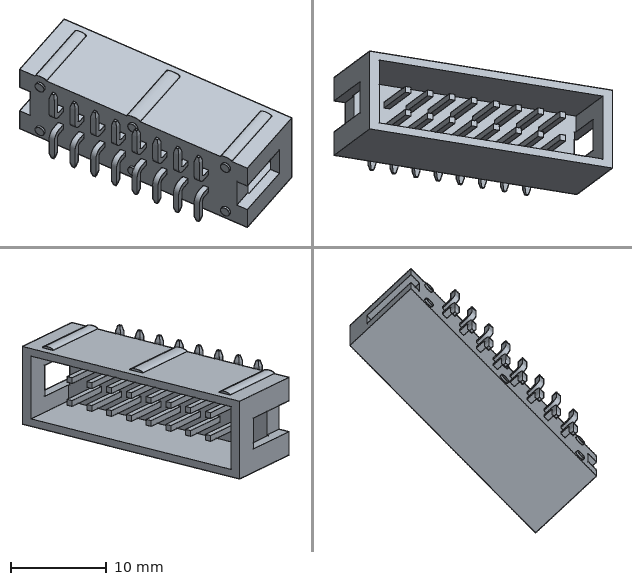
import cadquery as cq
import math


length = 27.95
depth = 8.83
height = 8.65
floor_thickness = 2.18
end_wall = 1.12
side_wall = 0.85

slot_height = 3.45
slot_depth = 6.37
floor_notch = 1.29

pins_per_row = 8
pin_pitch = 2.55
row_spacing = 2.55
pin_size = 0.65
pin_reach = 1.82
pin_tip_span = 9.3
pin_inner_radius = 0.3
pin_outer_radius = pin_inner_radius + pin_size
pin_taper_length = 0.65
pin_tip_size = 0.3
pin_end_clearance = 1.4

standoff_diameter = 1.1
standoff_height = 0.25
standoff_row_offset = 3.19
station_offset = 11.37
rib_height = 0.25
rib_setback = 0.92
outer_rib_width = 1.4
middle_rib_width = 1.68


def box(x_range, y_range, z_range):
    """Axis-aligned block between the given limits."""
    (x0, x1), (y0, y1), (z0, z1) = x_range, y_range, z_range
    return cq.Workplane("XY").box(x1 - x0, y1 - y0, z1 - z0, centered=False).translate((x0, y0, z0))


def make_housing():
    """Hollow block with a slotted wall at each end."""
    half_length = length / 2
    half_cavity = half_length - end_wall
    half_cavity_height = height / 2 - side_wall
    slot_z = (-slot_height / 2, slot_height / 2)

    housing = box((-half_length, half_length), (0, depth), (-height / 2, height / 2))
    housing = housing.cut(
        box(
            (-half_cavity, half_cavity),
            (floor_thickness, depth),
            (-half_cavity_height, half_cavity_height),
        )
    )
    left_slot = box((-half_length, floor_notch - half_length), (0, slot_depth), slot_z)
    return housing.cut(left_slot).cut(left_slot.mirror("YZ"))


def make_rib(x, width):
    """Shallow half-elliptical rib running from the mounting face along the top."""
    top = height / 2
    rib_length = depth - rib_setback
    rod = cq.Workplane("XZ").center(x, top).ellipse(width / 2, rib_height).extrude(-rib_length)
    upper_half = box((x - width / 2, x + width / 2), (0, rib_length), (top, top + rib_height))
    return rod.intersect(upper_half)


def make_standoff(x, z):
    """Short round pad on the mounting face."""
    return cq.Workplane("XZ").center(x, z).circle(standoff_diameter / 2).extrude(standoff_height)


def make_upper_pin():
    """Square pin at X = 0, leaving the floor toward -Y and bent up to a tapered tip."""
    inner_face = row_spacing / 2 + pin_size / 2
    outer_face = inner_face - pin_size
    leg_back = -pin_reach + pin_size
    taper_start = pin_tip_span / 2 - pin_taper_length
    bend_y = leg_back + pin_inner_radius
    bend_z = inner_face + pin_inner_radius
    inner_mid = pin_inner_radius * math.sqrt(0.5)
    outer_mid = pin_outer_radius * math.sqrt(0.5)
    pin_end = depth - pin_end_clearance

    shank = (
        cq.Workplane("YZ")
        .moveTo(pin_end, outer_face)
        .lineTo(bend_y, outer_face)
        .threePointArc((bend_y - outer_mid, bend_z - outer_mid), (-pin_reach, bend_z))
        .lineTo(-pin_reach, taper_start)
        .lineTo(leg_back, taper_start)
        .lineTo(leg_back, bend_z)
        .threePointArc((bend_y - inner_mid, bend_z - inner_mid), (bend_y, inner_face))
        .lineTo(pin_end, inner_face)
        .close()
        .extrude(pin_size / 2, both=True)
    )
    tip = (
        cq.Workplane("XY", origin=(0, leg_back - pin_size / 2, taper_start))
        .rect(pin_size, pin_size)
        .workplane(offset=pin_taper_length)
        .rect(pin_tip_size, pin_tip_size)
        .loft()
    )
    return shank.union(tip)


result = make_housing()

for x, rib_width in (
    (-station_offset, outer_rib_width),
    (0, middle_rib_width),
    (station_offset, outer_rib_width),
):
    result = result.union(make_rib(x, rib_width))
    for z in (-standoff_row_offset, standoff_row_offset):
        result = result.union(make_standoff(x, z))

upper_pin = make_upper_pin()
lower_pin = upper_pin.mirror("XY")
for index in range(pins_per_row):
    x = (index - (pins_per_row - 1) / 2) * pin_pitch
    result = result.union(upper_pin.translate((x, 0, 0)))
    result = result.union(lower_pin.translate((x, 0, 0)))